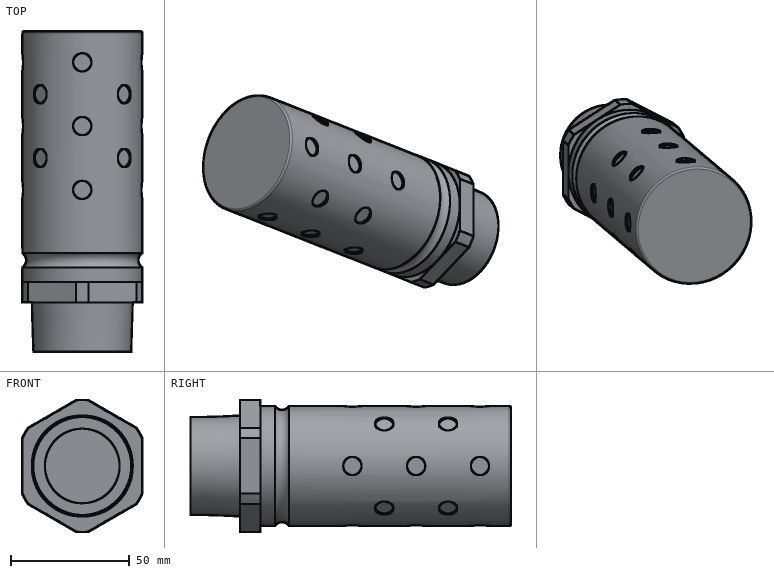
import cadquery as cq
import math

LENGTH = 135.4
BODY_DIAMETER = 50.8
END_ROUNDING = 0.8

THREAD_LENGTH = 20.8
THREAD_TIP_DIAMETER = 41.4
THREAD_TAPER = 1 / 16
BORE_DIAMETER = 31.5

HEX_THICKNESS = 8.7
HEX_ACROSS_FLATS = BODY_DIAMETER
HEX_CORNER_DIAMETER = 55.9

COLLAR_LENGTH = 6.1
GROOVE_WIDTH = 6.1
GROOVE_DEPTH = 1.6

HOLE_DIAMETER = 7.7
HOLE_DEPTH = 1.0
HOLE_SPACING = 27.0
HOLE_END_DISTANCE = 13.1
HOLE_COLUMNS = 8
LONG_COLUMN_HOLES = 3
SHORT_COLUMN_HOLES = 2

HEX_BACK = THREAD_LENGTH + HEX_THICKNESS
GROOVE_START = HEX_BACK + COLLAR_LENGTH
BORE_DEPTH = HEX_BACK


def cylinder_along_y(diameter, start, length):
    return cq.Workplane("XZ", origin=(0, start, 0)).circle(diameter / 2).extrude(-length)


def make_turned_body():
    """Revolve the outer profile: thread, collar, groove and perforated shell."""
    radius = BODY_DIAMETER / 2
    tip_radius = THREAD_TIP_DIAMETER / 2
    root_radius = tip_radius + THREAD_TAPER * THREAD_LENGTH / 2
    profile = (
        cq.Workplane("XY")
        .lineTo(tip_radius, 0)
        .lineTo(root_radius, THREAD_LENGTH)
        .lineTo(radius, THREAD_LENGTH)
        .lineTo(radius, GROOVE_START)
        .threePointArc(
            (radius - GROOVE_DEPTH, GROOVE_START + GROOVE_WIDTH / 2),
            (radius, GROOVE_START + GROOVE_WIDTH),
        )
        .lineTo(radius, LENGTH - END_ROUNDING)
        .radiusArc((radius - END_ROUNDING, LENGTH), -END_ROUNDING)
        .lineTo(0, LENGTH)
        .close()
    )
    return profile.revolve(360, (0, 0, 0), (0, 1, 0))


def make_hexagon():
    """Hexagon with flats facing +X and -X and rounded corners."""
    point_diameter = HEX_ACROSS_FLATS / math.cos(math.pi / 6)
    prism = (
        cq.Workplane("XZ", origin=(0, THREAD_LENGTH, 0))
        .transformed(rotate=(0, 0, 90))
        .polygon(6, point_diameter)
        .extrude(-HEX_THICKNESS)
    )
    return prism.intersect(cylinder_along_y(HEX_CORNER_DIAMETER, THREAD_LENGTH, HEX_THICKNESS))


def make_holes():
    """Radial hole cutters, with every second column shifted by half a spacing."""
    radius = BODY_DIAMETER / 2
    cutters = cq.Workplane("XY")
    for column in range(HOLE_COLUMNS):
        is_short = column % 2 == 1
        count = SHORT_COLUMN_HOLES if is_short else LONG_COLUMN_HOLES
        first = LENGTH - HOLE_END_DISTANCE - (HOLE_SPACING / 2 if is_short else 0)
        for row in range(count):
            hole = (
                cq.Workplane("XY", origin=(0, 0, radius - HOLE_DEPTH))
                .center(0, first - row * HOLE_SPACING)
                .circle(HOLE_DIAMETER / 2)
                .extrude(2 * HOLE_DEPTH)
                .rotate((0, 0, 0), (0, 1, 0), column * 360 / HOLE_COLUMNS)
            )
            cutters = cutters.add(hole)
    return cutters.combine()


bore = cylinder_along_y(BORE_DIAMETER, 0, BORE_DEPTH)
body = make_turned_body().union(make_hexagon()).cut(bore).cut(make_holes())
result = body.translate((0, -LENGTH / 2, 0))